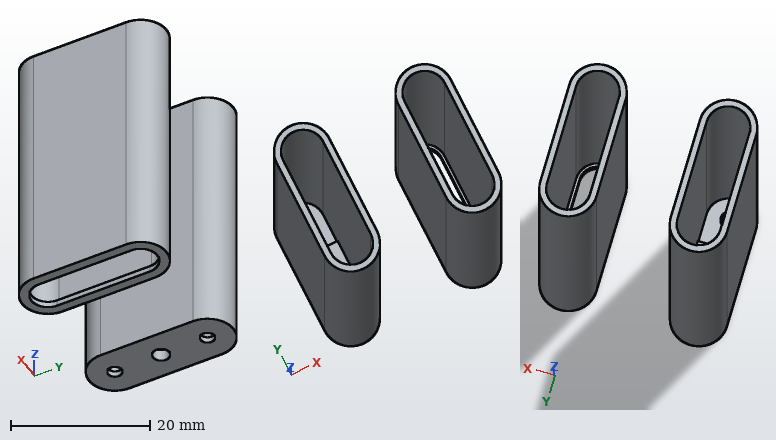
import cadquery as cq

sleeve_width = 8.4
sleeve_length = 23.7
sleeve_spacing = 19.5
open_height = 42.0
floored_height = 41.85
wall = 1.0
lip = 0.5
lip_height = 1.0
floor_thickness = 1.0
pad_length = 5.95
pad_rise = 1.0
center_hole_diameter = 2.6
side_hole_diameter = 2.2

side_hole_offset = (sleeve_length - sleeve_width) / 2
pad_top = floor_thickness + pad_rise


def stadium(inset, bottom, top):
    """Upright prism with rounded ends, its outline offset inward from the outside of a sleeve."""
    width = sleeve_width - 2 * inset
    length = sleeve_length - 2 * inset
    return cq.Workplane("XY").workplane(offset=bottom).slot2D(length, width, 90).extrude(top - bottom)


def make_floored_sleeve():
    """Sleeve closed by a floor with a raised middle pad and three through holes."""
    sleeve = stadium(0, 0, floored_height).cut(stadium(wall, floor_thickness, floored_height))
    pad = cq.Workplane("XY").box(
        sleeve_width - 2 * wall, pad_length, pad_top, centered=(True, True, False)
    )
    center_hole = cq.Workplane("XY").circle(center_hole_diameter / 2).extrude(pad_top)
    side_holes = (
        cq.Workplane("XY")
        .pushPoints([(0, -side_hole_offset), (0, side_hole_offset)])
        .circle(side_hole_diameter / 2)
        .extrude(floor_thickness)
    )
    return sleeve.union(pad).cut(center_hole).cut(side_holes)


def make_open_sleeve():
    """Sleeve open at both ends, with an inward lip around the bottom opening."""
    upper_cavity = stadium(wall, lip_height, open_height)
    lip_opening = stadium(wall + lip, 0, lip_height)
    return stadium(0, 0, open_height).cut(upper_cavity).cut(lip_opening)


floored_sleeve = make_floored_sleeve().translate((-sleeve_spacing / 2, 0, 0))
open_sleeve = make_open_sleeve().translate((sleeve_spacing / 2, 0, 0))

result = cq.Compound.makeCompound([floored_sleeve.val(), open_sleeve.val()])